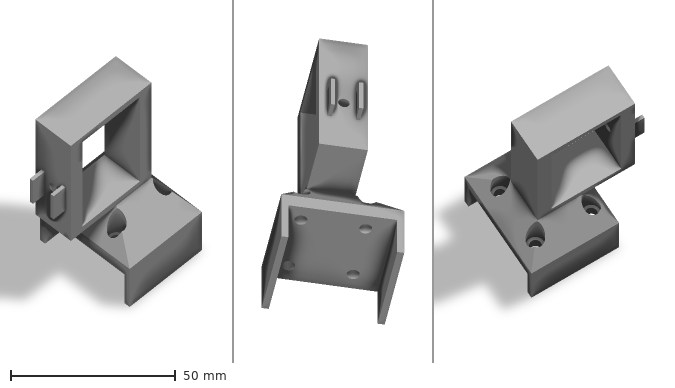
import cadquery as cq

base_x = 38.0
base_y = 31.5
plate_top = 18.0
leg_height = 13.65
leg_thickness = 2.2

taper_top = 30.0
taper_run_y = 8.2

frame_left = 9.45
frame_x = 15.1
frame_y = 35.0
total_height = 75.0
window_y = 25.0
window_z = 40.0

tab_thickness = 1.3
tab_length = 5.0
tab_height = 10.95
tab_center_z = 48.0
tab_spacing = 8.8
tab_center_x = frame_left + 7.65
front_hole_diameter = 3.5
front_hole_z = 48.8

screw_spacing = 20.0
screw_left = 7.1
screw_front = 5.55
screw_diameter = 4.0
counterbore_diameter = 6.0

frame_center_x = frame_left + frame_x / 2
frame_height = total_height - taper_top
frame_back = base_y - taper_run_y
frame_front = frame_back - frame_y
frame_center_y = (frame_front + frame_back) / 2
frame_wall_y = (frame_y - window_y) / 2


def corner_box(size_x, size_y, size_z, corner):
    """Box placed by its lowest X, Y and Z corner."""
    return cq.Workplane("XY").box(size_x, size_y, size_z, centered=False).translate(corner)


def make_saddle():
    block = corner_box(base_x, base_y, plate_top, (0, 0, 0))
    channel = corner_box(base_x - 2 * leg_thickness, base_y, leg_height, (leg_thickness, 0, 0))
    return block.cut(channel)


def make_taper():
    """Loft with unequal side slopes, because the frame sits off center in X."""
    return (
        cq.Workplane("XY", origin=(base_x / 2, base_y / 2, plate_top))
        .rect(base_x, base_y)
        .workplane(offset=taper_top - plate_top)
        .center(frame_center_x - base_x / 2, 0)
        .rect(frame_x, base_y - 2 * taper_run_y)
        .loft(ruled=True)
    )


def drill_screw_holes(body):
    """Through holes in the plate, with counterbores that cut into the taper."""
    corners = [
        (screw_left + column * screw_spacing, screw_front + row * screw_spacing)
        for column in range(2)
        for row in range(2)
    ]
    holes = cq.Workplane("XY").pushPoints(corners).circle(screw_diameter / 2).extrude(taper_top)
    counterbores = (
        cq.Workplane("XY", origin=(0, 0, plate_top))
        .pushPoints(corners)
        .circle(counterbore_diameter / 2)
        .extrude(taper_top - plate_top)
    )
    return body.cut(holes).cut(counterbores)


def make_frame():
    outer = corner_box(frame_x, frame_y, frame_height, (frame_left, frame_front, taper_top))
    window_center_z = taper_top + frame_height / 2
    window = (
        cq.Workplane("XY")
        .box(frame_x, window_y, window_z)
        .translate((frame_center_x, frame_center_y, window_center_z))
    )
    front_hole = (
        cq.Workplane("XZ", origin=(tab_center_x, frame_front, front_hole_z))
        .circle(front_hole_diameter / 2)
        .extrude(-frame_wall_y)
    )
    return outer.cut(window).cut(front_hole)


def make_tab(side):
    left = tab_center_x + side * tab_spacing / 2 - tab_thickness / 2
    corner = (left, frame_front - tab_length, tab_center_z - tab_height / 2)
    return corner_box(tab_thickness, tab_length, tab_height, corner)


result = drill_screw_holes(make_saddle().union(make_taper())).union(make_frame())
for side in (-1, 1):
    result = result.union(make_tab(side))